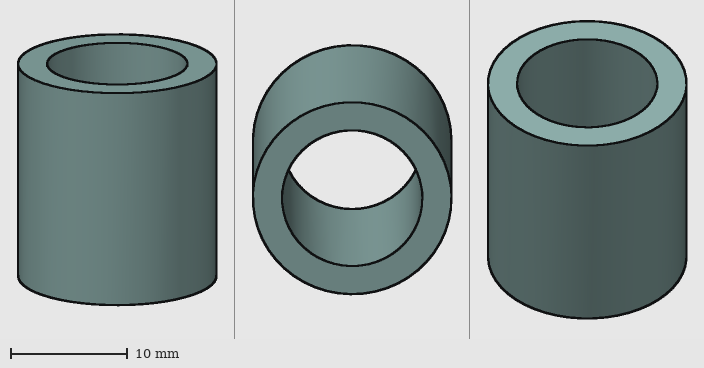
import cadquery as cq

length = 19.0
outer_diameter = 17.0
bore_diameter = 12.0

result = (
    cq.Workplane("XY")
    .circle(outer_diameter / 2)
    .circle(bore_diameter / 2)
    .extrude(length)
)